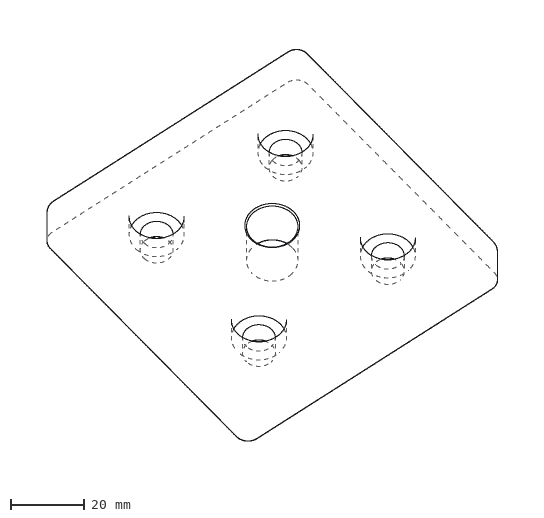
import cadquery as cq

side = 90.0
thickness = 16.0
corner_radius = 4.0
top_edge_radius = 3.0

hole_spacing = side / 2
screw_hole_diameter = 9.0
counterbore_diameter = 15.0
counterbore_depth = 9.0
counterbore_rounding = 1.0

center_hole_diameter = 14.0
center_chamfer = 0.495


def rounded_plate():
    """Square plate with rounded corners and a rounded top edge, resting on Z = 0."""
    plate = cq.Workplane("XY").box(side, side, thickness, centered=(True, True, False))
    plate = plate.edges("|Z").fillet(corner_radius)
    return plate.faces(">Z").edges().fillet(top_edge_radius)


def cut_screw_holes(plate):
    """Counterbored through holes whose mouths are rounded over at the top face."""
    drilled = (
        plate.faces(">Z")
        .workplane(origin=(0, 0, thickness))
        .rect(hole_spacing, hole_spacing, forConstruction=True)
        .vertices()
        .cboreHole(screw_hole_diameter, counterbore_diameter, counterbore_depth)
    )
    reach = (hole_spacing + counterbore_diameter) / 2 + counterbore_rounding
    mouths = cq.selectors.BoxSelector((-reach, -reach, 0), (reach, reach, 2 * thickness))
    return drilled.faces(">Z").edges("%CIRCLE").edges(mouths).fillet(counterbore_rounding)


def cut_center_hole(plate):
    """Through hole with a 45 degree chamfer at the top face."""
    radius = center_hole_diameter / 2
    profile = [
        (0, 0),
        (radius, 0),
        (radius, thickness - center_chamfer),
        (radius + center_chamfer, thickness),
        (0, thickness),
    ]
    cutter = cq.Workplane("XZ").polyline(profile).close().revolve(360, (0, 0, 0), (0, 1, 0))
    return plate.cut(cutter)


result = cut_center_hole(cut_screw_holes(rounded_plate()))